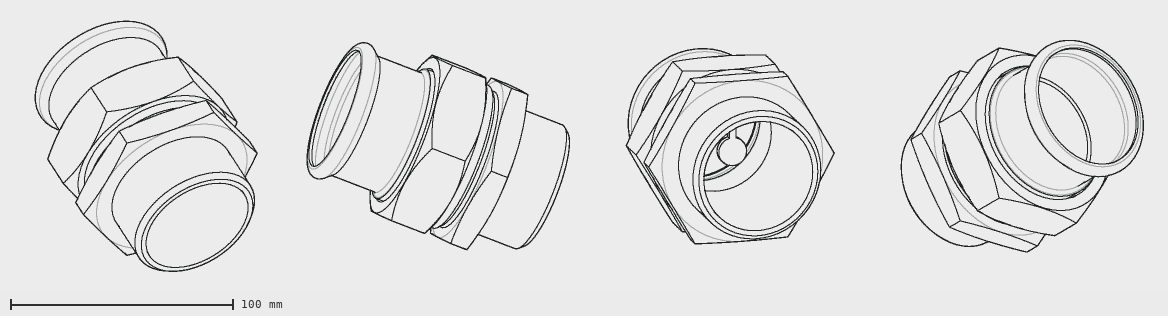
import cadquery as cq
import math

TOTAL_LENGTH = 103.3
ACROSS_FLATS = 75.0
FLAT_RADIUS = ACROSS_FLATS / 2
HEX_CORNER_RADIUS = ACROSS_FLATS / math.sqrt(3)
CORNER_MARGIN = 1.0

SOCKET_RADIUS = 28.8
WALL = 1.4
MOUTH_RADIUS = 27.9
BEAD_RADIUS = 32.5
BEAD_TUBE_RADIUS = 3.3
BEAD_SLOPE = math.radians(40)
INNER_BEND_RADIUS = 2.9

NUT_START = 34.6
NUT_LENGTH = 23.1
NUT_END = NUT_START + NUT_LENGTH
NUT_CHAMFER_ANGLE = math.radians(30)
NUT_FACE_RADIUS = 37.3

FLARE_START = 31.0
FLARE_RADIUS = 1.8
COLLAR_START = FLARE_START + FLARE_RADIUS
COLLAR_RADIUS = 31.2
NUT_CLEARANCE = 0.8
SOCKET_DEPTH = NUT_START
BORE_RADIUS = 25.4

SHOULDER_RADIUS = 34.4
SHOULDER_CHAMFER = 1.7
GROOVE_RADIUS = SHOULDER_RADIUS - SHOULDER_CHAMFER
GROOVE_START = 63.8
GROOVE_LENGTH = 2.0

HEX_START = GROOVE_START + GROOVE_LENGTH
HEX_LENGTH = 11.2
HEX_END = HEX_START + HEX_LENGTH
HEX_CHAMFER_ANGLE = math.radians(15)
MALE_RADIUS = 29.9
MALE_CHAMFER_LENGTH = 2.5
MALE_CHAMFER_DEPTH = 2.1

DISC_START = NUT_END
DISC_RADIUS = 6.5
BAR_WIDTH = 3.1
BAR_EMBED = 0.5


def revolve_about_x(half_profile):
    """Turn an open half profile (X along the axis, Y as radius) into a solid."""
    return half_profile.close().revolve(360, (0, 0, 0), (1, 0, 0))


def turned(points):
    """Solid of revolution below a line of (axial position, radius) points."""
    first_x = points[0][0]
    last_x = points[-1][0]
    return revolve_about_x(cq.Workplane("XY").polyline([(first_x, 0), *points, (last_x, 0)]))


def cylinder(start, end, radius):
    return turned([(start, radius), (end, radius)])


def chamfered_hexagon(start, end, start_radius, end_radius, angle):
    """Hexagon with flats on top and bottom, its corners coned off at both ends."""
    block = cq.Workplane("YZ", origin=(start, 0, 0)).polygon(6, 2 * HEX_CORNER_RADIUS).extrude(end - start)
    outside = HEX_CORNER_RADIUS + CORNER_MARGIN
    envelope = turned([
        (start, start_radius),
        (start + (outside - start_radius) * math.tan(angle), outside),
        (end - (outside - end_radius) * math.tan(angle), outside),
        (end, end_radius),
    ])
    return block.intersect(envelope)


def beaded_rod(tube_radius, rod_radius, end, bend_radius=0):
    """Rod with a rounded bead at its start, running down a cone to the rod radius.

    A bend radius rounds the corner between the cone and the rod.
    """
    centre_x = BEAD_TUBE_RADIUS
    centre_r = BEAD_RADIUS - BEAD_TUBE_RADIUS

    def on_bead(angle):
        """Point on the bead, at an angle from its crest toward the rod."""
        return (centre_x + tube_radius * math.sin(angle), centre_r + tube_radius * math.cos(angle))

    bead_front_angle = -math.pi / 2
    cone_x, cone_r = on_bead(BEAD_SLOPE)
    foot_x = cone_x + (cone_r - rod_radius) / math.tan(BEAD_SLOPE)
    profile = (
        cq.Workplane("XY")
        .moveTo(centre_x - tube_radius, 0)
        .lineTo(centre_x - tube_radius, centre_r)
        .threePointArc(on_bead((bead_front_angle + BEAD_SLOPE) / 2), (cone_x, cone_r))
    )
    if bend_radius:
        setback = bend_radius * math.tan(BEAD_SLOPE / 2)
        bend_start = (foot_x - setback * math.cos(BEAD_SLOPE), rod_radius + setback * math.sin(BEAD_SLOPE))
        profile = profile.lineTo(*bend_start).tangentArcPoint((foot_x + setback, rod_radius), relative=False)
    else:
        profile = profile.lineTo(foot_x, rod_radius)
    return revolve_about_x(profile.lineTo(end, rod_radius).lineTo(end, 0))


def flared_collar():
    """Collar inside the nut, with the flare that leads up to it."""
    half_way = FLARE_RADIUS * math.sin(math.pi / 4)
    return revolve_about_x(
        cq.Workplane("XY")
        .moveTo(FLARE_START, 0)
        .lineTo(FLARE_START, SOCKET_RADIUS)
        .threePointArc(
            (FLARE_START + half_way, SOCKET_RADIUS + FLARE_RADIUS - half_way),
            (COLLAR_START, SOCKET_RADIUS + FLARE_RADIUS),
        )
        .lineTo(COLLAR_START, COLLAR_RADIUS)
        .lineTo(NUT_END, COLLAR_RADIUS)
        .lineTo(NUT_END, 0)
    )


def shoulder_and_groove():
    return turned([
        (NUT_END, SHOULDER_RADIUS),
        (GROOVE_START - SHOULDER_CHAMFER, SHOULDER_RADIUS),
        (GROOVE_START, GROOVE_RADIUS),
        (HEX_START, GROOVE_RADIUS),
    ])


def male_end():
    return turned([
        (HEX_END, MALE_RADIUS),
        (TOTAL_LENGTH - MALE_CHAMFER_LENGTH, MALE_RADIUS),
        (TOTAL_LENGTH, MALE_RADIUS - MALE_CHAMFER_DEPTH),
    ])


def disc_on_bar():
    disc = cylinder(DISC_START, DISC_START + BAR_WIDTH, DISC_RADIUS)
    bar = (
        cq.Workplane("XY", origin=(DISC_START, 0, 0))
        .box(BAR_WIDTH, BAR_WIDTH, BORE_RADIUS + BAR_EMBED, centered=(False, True, False))
    )
    return disc.union(bar)


def make_fitting():
    """Socket, collar, shoulder, fixed hexagon and male end in one piece."""
    hexagon = chamfered_hexagon(HEX_START, HEX_END, FLAT_RADIUS, FLAT_RADIUS, HEX_CHAMFER_ANGLE)
    outside = (
        beaded_rod(BEAD_TUBE_RADIUS, SOCKET_RADIUS, FLARE_START)
        .union(flared_collar())
        .union(shoulder_and_groove())
        .union(hexagon)
        .union(male_end())
    )
    tube_space = beaded_rod(BEAD_TUBE_RADIUS - WALL, SOCKET_RADIUS - WALL, SOCKET_DEPTH, INNER_BEND_RADIUS)
    mouth = cylinder(0, BEAD_TUBE_RADIUS, MOUTH_RADIUS)
    bore = cylinder(0, TOTAL_LENGTH, BORE_RADIUS)
    return outside.cut(tube_space).cut(mouth).cut(bore).union(disc_on_bar())


def make_union_nut():
    """Hexagon nut, loose around the collar and resting against the shoulder."""
    hexagon = chamfered_hexagon(NUT_START, NUT_END, NUT_FACE_RADIUS, FLAT_RADIUS, NUT_CHAMFER_ANGLE)
    return hexagon.cut(cylinder(NUT_START, NUT_END, COLLAR_RADIUS + NUT_CLEARANCE))


fitting = make_fitting()
union_nut = make_union_nut()
result = cq.Compound.makeCompound([fitting.val(), union_nut.val()])